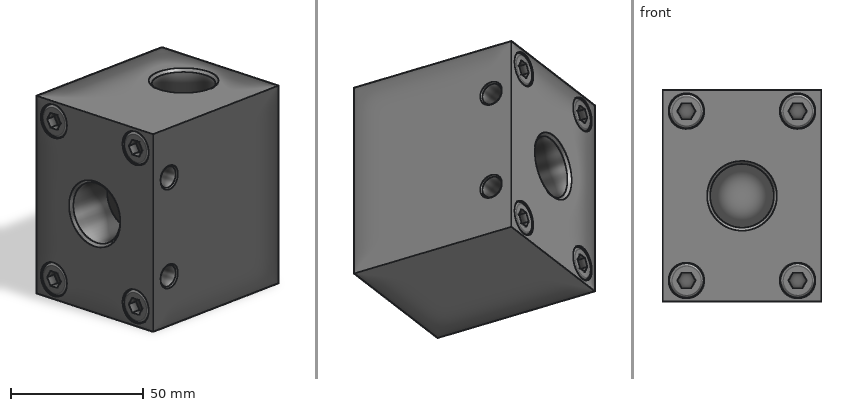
import cadquery as cq
import math

width = 60.0
depth = 70.0
height = 80.0
front_y = -depth / 2
plate_thickness = 18.0
joint_y = front_y + plate_thickness

port_diameter = 24.1
port_mouth_diameter = 26.4
port_depth = 20.0
top_port_from_back = 20.4

screw_spacing_x = 42.0
screw_spacing_z = 64.0
counterbore_diameter = 13.5
counterbore_depth = 8.0
head_diameter = 13.0
head_fillet = 1.0
hex_across_flats = 6.0
hex_depth = 4.0

cross_hole_diameter = 8.5
cross_hole_mouth_diameter = 9.7
cross_hole_spacing_z = 40.0


def countersunk_hole(face, diameter, mouth_diameter, hole_depth):
    """Hole cutter going into the face plane, with a 45 degree mouth."""
    mouth_depth = (mouth_diameter - diameter) / 2
    bore = cq.Workplane(face).circle(diameter / 2).extrude(-hole_depth)
    mouth = (
        cq.Workplane(face)
        .circle(mouth_diameter / 2)
        .workplane(offset=-mouth_depth)
        .circle(diameter / 2)
        .loft(combine=True)
    )
    return bore.union(mouth)


def screw_heads(centres, face):
    """Socket heads standing on the counterbore floors."""
    hex_corner_diameter = hex_across_flats / math.cos(math.pi / 6)
    floor = cq.Workplane(face).workplane(offset=-counterbore_depth)
    heads = floor.pushPoints(centres).circle(head_diameter / 2).extrude(counterbore_depth)
    heads = heads.faces("<Y").edges().fillet(head_fillet)
    sockets = (
        cq.Workplane(face)
        .pushPoints(centres)
        .polygon(6, hex_corner_diameter)
        .extrude(-hex_depth)
    )
    return heads.cut(sockets)


body = cq.Workplane("XY").box(width, depth, height)

front_face = cq.Plane(origin=(0, front_y, 0), xDir=(1, 0, 0), normal=(0, -1, 0))
top_port_y = depth / 2 - top_port_from_back
top_face = cq.Plane(origin=(0, top_port_y, height / 2), xDir=(1, 0, 0), normal=(0, 0, 1))
for face in (front_face, top_face):
    body = body.cut(countersunk_hole(face, port_diameter, port_mouth_diameter, port_depth))

cross_hole_y = (front_y + joint_y) / 2
for z in (-cross_hole_spacing_z / 2, cross_hole_spacing_z / 2):
    for side in (-1, 1):
        origin = (side * width / 2, cross_hole_y, z)
        side_face = cq.Plane(origin=origin, xDir=(0, 1, 0), normal=(side, 0, 0))
        body = body.cut(
            countersunk_hole(side_face, cross_hole_diameter, cross_hole_mouth_diameter, width / 2)
        )

screw_centres = [
    (side_x * screw_spacing_x / 2, side_z * screw_spacing_z / 2)
    for side_x in (-1, 1)
    for side_z in (-1, 1)
]
counterbores = (
    cq.Workplane(front_face)
    .pushPoints(screw_centres)
    .circle(counterbore_diameter / 2)
    .extrude(-counterbore_depth)
)
result = body.cut(counterbores).union(screw_heads(screw_centres, front_face))